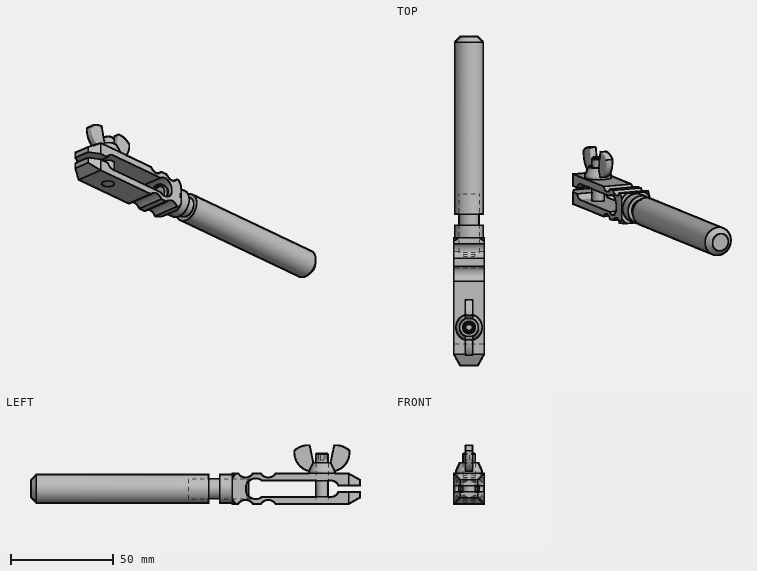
import cadquery as cq
import math


jaw_width = 15.0
jaw_half = jaw_width / 2
tip_bevel_length = 5.6
tip_half = 4.3
shoulder_y = 62.4
corner_chamfer = 1.6
collar_end_y = 68.7
jaw_gap = 3.0

slot_height = 7.9
slot_end_y = 10.3
eye_radius = 5.0
eye_y = 51.0

scallop_radius = 4.3
scallop_depth = 2.0
scallop_places = (44.9, 56.0)

handle_radius = 14.0 / 2
handle_start_y = 74.0
handle_end_y = 160.9
handle_chamfer = 2.7

stud_radius = 5.0
stud_chamfer = 1.0
stud_start_y = 54.4
stud_depth_in_handle = 2 * stud_radius
stud_end_y = handle_start_y + stud_depth_in_handle

screw_y = 18.7
screw_radius = 3.0
screw_top_z = 17.4
screw_bottom_z = -jaw_half
screw_chamfer = 0.6
socket_across_flats = 3.0
socket_depth = 3.2

hub_base_radius = 6.5
hub_top_radius = 9.2 / 2
hub_rim_height = 1.3
hub_height = 5.3
hub_edge_fillet = 1.1
wing_thickness = 3.5
wing_edge_fillet = 0.5
wing_root = 3.9
wing_bottom_height = 1.1
wing_bottom_end = 6.5
wing_side_middle = (11.9, 5.0)
wing_outer_corner = (13.5, 11.1)
wing_top_middle = (10.3, 13.2)
wing_inner_corner = (6.0, 13.8)
wing_foot = 4.2


def y_cylinder(radius, start_y, end_y):
    """Solid cylinder on the handle axis."""
    return cq.Workplane("XZ", origin=(0, start_y, 0)).circle(radius).extrude(start_y - end_y)


def x_cylinder(radius, y, z):
    """Cylinder across the whole width of the jaw body."""
    return cq.Workplane("YZ").center(y, z).circle(radius).extrude(jaw_half, both=True)


def tapered_bar(plane):
    """Square bar whose two sides taper towards the jaw tip, drawn on the given plane."""
    outline = [
        (-tip_half, 0),
        (tip_half, 0),
        (jaw_half, tip_bevel_length),
        (jaw_half, shoulder_y),
        (-jaw_half, shoulder_y),
        (-jaw_half, tip_bevel_length),
    ]
    return cq.Workplane(plane).polyline(outline).close().extrude(jaw_half, both=True)


def make_jaw():
    """Jaw body with two spring arms, scallops, a turned shoulder and a collar."""
    side_plane = cq.Plane(origin=(0, 0, 0), xDir=(0, 0, 1), normal=(-1, 0, 0))
    jaw = tapered_bar("XY").intersect(tapered_bar(side_plane))

    corner_radius = jaw_half * math.sqrt(2)
    shoulder = y_cylinder(corner_radius, 0, shoulder_y).faces(">Y").chamfer(corner_chamfer)
    jaw = jaw.intersect(shoulder)
    jaw = jaw.union(y_cylinder(handle_radius, shoulder_y, collar_end_y))

    slot_radius = slot_height / 2
    slot_round_y = slot_end_y + slot_radius
    gap = cq.Workplane("XY").box(jaw_width, slot_round_y, jaw_gap, centered=(True, False, True))
    slot = cq.Workplane("XY", origin=(0, slot_round_y, 0)).box(
        jaw_width, eye_y - slot_round_y, slot_height, centered=(True, False, True)
    )
    jaw = jaw.cut(gap).cut(slot)
    jaw = jaw.cut(x_cylinder(slot_radius, slot_round_y, 0)).cut(x_cylinder(eye_radius, eye_y, 0))

    scallop_z = jaw_half - scallop_depth + scallop_radius
    for y in scallop_places:
        for side in (1, -1):
            jaw = jaw.cut(x_cylinder(scallop_radius, y, side * scallop_z))

    bore_start_y = eye_y + eye_radius / 2
    jaw = jaw.cut(y_cylinder(stud_radius, bore_start_y, collar_end_y))
    screw_hole = (
        cq.Workplane("XY", origin=(0, screw_y, 0)).circle(screw_radius).extrude(jaw_half, both=True)
    )
    return jaw.cut(screw_hole)


def make_handle():
    """Round handle with a chamfered end and a blind bore for the stud."""
    handle = y_cylinder(handle_radius, handle_start_y, handle_end_y)
    handle = handle.faces(">Y").chamfer(handle_chamfer)
    return handle.cut(y_cylinder(stud_radius, handle_start_y, stud_end_y))


def make_stud():
    """Headless stud, chamfered at the end that stands in the eye."""
    return y_cylinder(stud_radius, stud_start_y, stud_end_y).faces("<Y").chamfer(stud_chamfer)


def make_screw():
    """Headless clamping screw with a hexagon socket in its top."""
    screw = (
        cq.Workplane("XY", origin=(0, screw_y, screw_bottom_z))
        .circle(screw_radius)
        .extrude(screw_top_z - screw_bottom_z)
        .faces(">Z")
        .chamfer(screw_chamfer)
    )
    socket = (
        cq.Workplane("XY", origin=(0, screw_y, screw_top_z))
        .polygon(6, socket_across_flats, circumscribed=True)
        .extrude(-socket_depth)
    )
    return screw.cut(socket)


def make_wing():
    """One wing, standing on the +Y side of an upright axis at the origin."""
    return (
        cq.Workplane("YZ")
        .moveTo(wing_root, wing_bottom_height)
        .lineTo(wing_bottom_end, wing_bottom_height)
        .threePointArc(wing_side_middle, wing_outer_corner)
        .threePointArc(wing_top_middle, wing_inner_corner)
        .lineTo(wing_foot, hub_height)
        .lineTo(wing_root, hub_height)
        .close()
        .extrude(wing_thickness / 2, both=True)
        .faces("<X or >X")
        .edges()
        .fillet(wing_edge_fillet)
    )


def make_wing_nut():
    """Conical hub on a low rim, with two wings, sitting on the jaw body."""
    hub_outline = [
        (screw_radius, 0),
        (hub_base_radius, 0),
        (hub_base_radius, hub_rim_height),
        (hub_top_radius, hub_height),
        (screw_radius, hub_height),
    ]
    nut = cq.Workplane("XZ").polyline(hub_outline).close().revolve(360, (0, 0), (0, 1))
    nut = nut.edges(cq.selectors.RadiusNthSelector(-1)).edges(">Z").fillet(hub_edge_fillet)
    for turn in (0, 180):
        nut = nut.union(make_wing().rotate((0, 0, 0), (0, 0, 1), turn))
    return nut.translate((0, screw_y, jaw_half))


jaw = make_jaw()
handle = make_handle()
stud = make_stud()
screw = make_screw()
wing_nut = make_wing_nut()

result = cq.Compound.makeCompound([jaw.val(), handle.val(), stud.val(), screw.val(), wing_nut.val()])